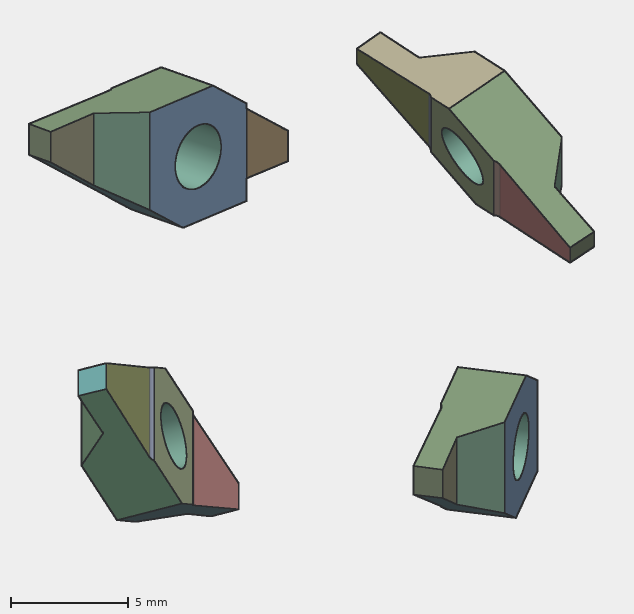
import cadquery as cq
import math

thickness = 3.0
length = 15.0
height = 6.0

tip_height = 1.41
slope_angle = 35.0

end_skew_angle = 1.0

pad_half_width = 2.2
blend_width = 0.3
blend_depth = 0.095
arm_taper_angle = 0.5

boss_half_width = 3.06
boss_height = 1.685

hole_diameter = 2.9

half_thickness = thickness / 2
half_length = length / 2
half_height = height / 2


def plan_profile():
    """Closed XY outline on the bottom plane, mirrored about the X axis."""
    taper = math.tan(math.radians(arm_taper_angle))
    rear_x = -half_thickness
    front_x = half_thickness

    blend_end_y = pad_half_width + blend_width
    blend_radius = (blend_width**2 + blend_depth**2) / (2 * blend_depth)
    arm_rear_x = rear_x + blend_depth
    blend_mid_angle = math.asin(blend_width / blend_radius) / 2
    blend_mid_x = arm_rear_x - blend_radius * (1 - math.cos(blend_mid_angle))
    blend_mid_y = blend_end_y - blend_radius * math.sin(blend_mid_angle)

    boss_root_x = front_x - boss_height
    boss_root_y = boss_half_width + boss_height
    tip_rear_x = arm_rear_x - taper * (half_length - blend_end_y)
    tip_front_x = boss_root_x + taper * (half_length - boss_root_y)
    end_setback = (tip_front_x - tip_rear_x) * math.tan(math.radians(end_skew_angle))

    return (
        cq.Workplane("XY")
        .workplane(offset=-half_height)
        .moveTo(rear_x, 0)
        .lineTo(rear_x, pad_half_width)
        .threePointArc((blend_mid_x, blend_mid_y), (arm_rear_x, blend_end_y))
        .lineTo(tip_rear_x, half_length - end_setback)
        .lineTo(tip_front_x, half_length)
        .lineTo(boss_root_x, boss_root_y)
        .lineTo(front_x, boss_half_width)
        .lineTo(front_x, 0)
        .mirrorX()
    )


def side_prism():
    """Six-sided YZ outline, extruded through the full thickness."""
    slope_run = (height - tip_height) / math.tan(math.radians(slope_angle))
    corner_y = half_length - slope_run
    tip_z = half_height - tip_height
    return (
        cq.Workplane("YZ", origin=(-half_thickness, 0, 0))
        .polyline([
            (half_length, -half_height),
            (half_length, -tip_z),
            (corner_y, half_height),
            (-half_length, half_height),
            (-half_length, tip_z),
            (-corner_y, -half_height),
        ])
        .close()
        .extrude(thickness)
    )


def through_hole():
    return (
        cq.Workplane("YZ", origin=(-half_thickness, 0, 0))
        .circle(hole_diameter / 2)
        .extrude(thickness)
    )


body = plan_profile().extrude(height)
result = body.intersect(side_prism()).cut(through_hole())